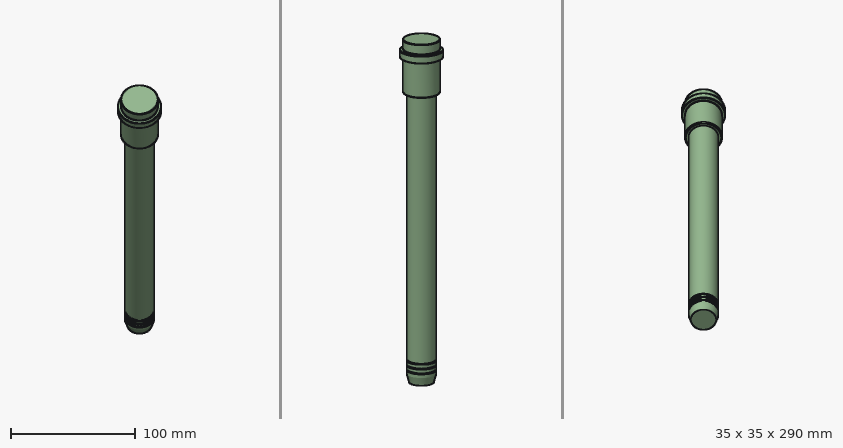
import cadquery as cq

length = 290.0

tube_diameter = 24.0
tip_diameter = 20.3
taper_height = 7.2

head_diameter = 30.2
head_length = 45.5
head_top_chamfer = 0.5
head_bottom_chamfer = 1.0

collar_diameter = 35.0
collar_top_drop = 9.0
collar_thickness = 6.5
collar_chamfer = 0.5

relief_width = 1.0
relief_depth = 0.3

groove_count = 3
groove_offset = 3.0
groove_pitch = 4.0
groove_width = 1.0
groove_depth = 1.0
first_groove_bottom = taper_height + groove_offset


def cylinder(diameter, bottom, height):
    """Upright cylinder on the part axis."""
    return cq.Workplane("XY").workplane(offset=bottom).circle(diameter / 2).extrude(height)


def ring_groove(diameter, bottom, width, depth):
    """Ring that cuts a groove into a cylinder of the given diameter."""
    outer = cylinder(diameter + 2 * depth, bottom, width)
    return outer.cut(cylinder(diameter - 2 * depth, bottom, width))


head_bottom = length - head_length
tube = (
    cq.Workplane("XZ")
    .lineTo(tip_diameter / 2, 0)
    .lineTo(tube_diameter / 2, taper_height)
    .lineTo(tube_diameter / 2, head_bottom)
    .lineTo(0, head_bottom)
    .close()
    .revolve(360, (0, 0, 0), (0, 1, 0))
)
for index in range(groove_count):
    groove_bottom = first_groove_bottom + index * groove_pitch
    tube = tube.cut(ring_groove(tube_diameter, groove_bottom, groove_width, groove_depth))

collar_top = length - collar_top_drop
collar_bottom = collar_top - collar_thickness
head = cylinder(head_diameter, head_bottom, head_length)
head = head.faces(">Z").edges().chamfer(head_top_chamfer)
head = head.faces("<Z").edges().chamfer(head_bottom_chamfer)
for relief_bottom in (collar_top, collar_bottom - relief_width):
    head = head.cut(ring_groove(head_diameter, relief_bottom, relief_width, relief_depth))

collar = cylinder(collar_diameter, collar_bottom, collar_thickness)
collar = collar.faces("<Z or >Z").edges().chamfer(collar_chamfer)

result = tube.union(head).union(collar)